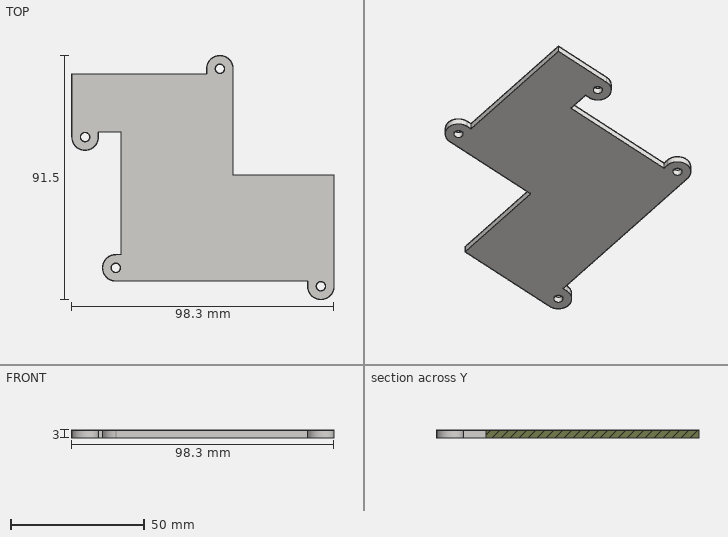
import cadquery as cq

length = 98.34
width = 91.47
thickness = 3.0

ear_radius = 5.0
hole_diameter = 3.4

waist_left_x = 18.4
waist_right_x = 60.5
front_edge_y = 6.9
shoulder_y = 46.7
notch_y = 62.7
back_edge_y = 84.6

upper_left_hole = (ear_radius, 60.9)
lower_left_hole = (16.5, front_edge_y + ear_radius)
back_hole = (waist_right_x - ear_radius, width - ear_radius)
front_hole = (length - ear_radius, ear_radius)
holes = [upper_left_hole, lower_left_hole, back_hole, front_hole]


def plate_outline():
    """Stepped S-shaped outline, counter-clockwise from the front-left ear."""
    ul_x, ul_y = upper_left_hole
    ll_x, ll_y = lower_left_hole
    back_x, back_y = back_hole
    front_x, front_y = front_hole
    return (
        cq.Workplane("XY")
        .moveTo(ll_x, front_edge_y)
        .lineTo(front_x - ear_radius, front_edge_y)
        .lineTo(front_x - ear_radius, front_y)
        .threePointArc((front_x, 0), (length, front_y))
        .lineTo(length, shoulder_y)
        .lineTo(waist_right_x, shoulder_y)
        .lineTo(waist_right_x, back_y)
        .threePointArc((back_x, width), (back_x - ear_radius, back_y))
        .lineTo(back_x - ear_radius, back_edge_y)
        .lineTo(0, back_edge_y)
        .lineTo(0, ul_y)
        .threePointArc((ul_x, ul_y - ear_radius), (ul_x + ear_radius, ul_y))
        .lineTo(ul_x + ear_radius, notch_y)
        .lineTo(waist_left_x, notch_y)
        .lineTo(waist_left_x, ll_y + ear_radius)
        .lineTo(ll_x, ll_y + ear_radius)
        .threePointArc((ll_x - ear_radius, ll_y), (ll_x, front_edge_y))
        .close()
    )


plate = plate_outline().extrude(thickness)
screw_holes = cq.Workplane("XY").pushPoints(holes).circle(hole_diameter / 2).extrude(thickness)

result = plate.cut(screw_holes).translate((-length / 2, -width / 2, 0))